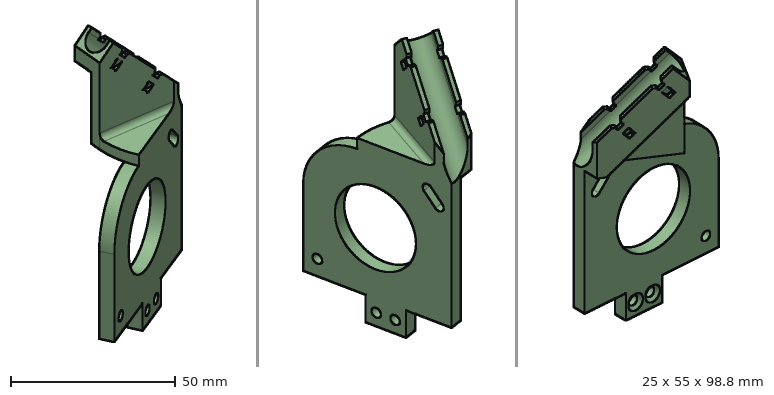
import cadquery as cq
import math

plate_thickness = 5.0
plate_width = 55.0
plate_height = 52.0
plate_corner_radius = 20.0

tab_width = 15.0
tab_height = 10.0
tab_center_y = 30.6

main_hole_diameter = 30.0
main_hole_center = (26.8, 35.7)
screw_diameter = 3.5
pivot_center = (5.3, 16.4)
slot_center = (48.2, 54.9)
slot_center_distance = 6.4
tab_hole_spacing = 7.0
tab_hole_z = 5.0
countersink_diameter = 6.0
countersink_angle = 90.0

total_height = 98.79
bracket_angle = 30.0
slope_angle = 45.0
bracket_corner = (-25.02, 30.0)
bracket_width = 12.3
wall_thickness = 4.2
flange_thickness = 4.0
flange_fillet = 2.0
end_face_height = 7.4
block_lip = 4.0

channel_radius = 4.45
channel_axis_depth = 1.8

tie_passages = ((7.0, 6.35), (25.0, 6.6))
tie_width = 2.5
tie_thickness = 1.5
notch_depth = 2.0
notch_chamfer = 0.85

plate_top = tab_height + plate_height
slope_sin = math.sin(math.radians(slope_angle))
slope_cos = math.cos(math.radians(slope_angle))
rise = end_face_height * slope_cos
peak_run = end_face_height * slope_sin
end_corner_z = total_height - rise
block_bottom_z = end_corner_z - block_lip / slope_cos
reach = 2 * plate_width

along = cq.Vector(math.sin(math.radians(bracket_angle)), math.cos(math.radians(bracket_angle)), 0)
up = cq.Vector(0, 0, 1)
across = along.cross(up)
downhill = along * slope_cos - up * slope_sin
corner = cq.Vector(*bracket_corner, 0)
peak = corner + along * peak_run + up * total_height

bracket_side_plane = cq.Plane(origin=corner, xDir=along, normal=across)
bracket_end_plane = cq.Plane(origin=corner, xDir=across, normal=along * -1)
slope_side_plane = cq.Plane(origin=peak, xDir=downhill, normal=across)


def channel_plane(distance):
    """Plane square to the channel, local Y pointing down into the block."""
    return cq.Plane(origin=peak + downhill * distance, xDir=across, normal=downhill)


def plate_openings(diameter, points):
    """Cylinders through the plate at (Y, Z) points."""
    return (
        cq.Workplane("YZ")
        .pushPoints(points)
        .circle(diameter / 2)
        .extrude(-plate_thickness)
    )


def make_plate():
    plate = (
        cq.Workplane("YZ")
        .moveTo(0, tab_height)
        .lineTo(plate_width, tab_height)
        .lineTo(plate_width, plate_top)
        .lineTo(plate_corner_radius, plate_top)
        .radiusArc((0, plate_top - plate_corner_radius), -plate_corner_radius)
        .close()
        .extrude(-plate_thickness)
    )
    tab = (
        cq.Workplane("YZ")
        .center(tab_center_y, tab_height / 2)
        .rect(tab_width, tab_height)
        .extrude(-plate_thickness)
    )
    plate = plate.union(tab)

    plate = plate.cut(plate_openings(main_hole_diameter, [main_hole_center]))
    plate = plate.cut(plate_openings(screw_diameter, [pivot_center]))

    slot_angle = 90 + math.degrees(
        math.atan2(slot_center[1] - pivot_center[1], slot_center[0] - pivot_center[0])
    )
    slot = (
        cq.Workplane("YZ")
        .center(*slot_center)
        .slot2D(slot_center_distance + screw_diameter, screw_diameter, slot_angle)
        .extrude(-plate_thickness)
    )
    plate = plate.cut(slot)

    countersunk_face = cq.Plane(
        origin=(-plate_thickness, tab_center_y, tab_hole_z),
        xDir=(0, -1, 0),
        normal=(-1, 0, 0),
    )
    return (
        plate.copyWorkplane(cq.Workplane(countersunk_face))
        .pushPoints([(-tab_hole_spacing / 2, 0), (tab_hole_spacing / 2, 0)])
        .cskHole(screw_diameter, countersink_diameter, countersink_angle)
    )


def make_plan_outline():
    """Prism that trims the bracket; an arc blends its end face into the plate."""
    outer_corner = corner + across * bracket_width
    back_x = corner.x + (plate_width - corner.y) * math.tan(math.radians(bracket_angle))
    return (
        cq.Workplane("XY")
        .workplane(offset=plate_top)
        .moveTo(corner.x, corner.y)
        .lineTo(outer_corner.x, outer_corner.y)
        .tangentArcPoint((0, plate_corner_radius), relative=False)
        .lineTo(0, plate_width)
        .lineTo(back_x, plate_width)
        .close()
        .extrude(total_height - plate_top)
    )


def make_wall_and_flange():
    """Upright wall, cut off at the underside of the block, and floor flange joined by a fillet."""
    flange_top = plate_top + flange_thickness
    wall_inside = bracket_width - wall_thickness
    section = (
        cq.Workplane(bracket_end_plane)
        .moveTo(wall_inside, plate_top)
        .lineTo(reach, plate_top)
        .lineTo(reach, flange_top)
        .lineTo(bracket_width + flange_fillet, flange_top)
        .radiusArc((bracket_width, flange_top + flange_fillet), flange_fillet)
        .lineTo(bracket_width, end_corner_z)
        .lineTo(wall_inside, end_corner_z)
        .close()
        .extrude(reach, both=True)
    )
    above_block_bottom = (
        cq.Workplane(bracket_side_plane)
        .moveTo(0, block_bottom_z)
        .lineTo(reach, block_bottom_z - reach * slope_sin / slope_cos)
        .lineTo(reach, total_height)
        .lineTo(0, total_height)
        .close()
        .extrude(bracket_width)
    )
    return section.cut(above_block_bottom)


def make_block():
    slope_drop = reach * slope_sin / slope_cos
    return (
        cq.Workplane(bracket_side_plane)
        .moveTo(0, block_bottom_z)
        .lineTo(0, end_corner_z)
        .lineTo(peak_run, total_height)
        .lineTo(peak_run + reach, total_height - slope_drop)
        .lineTo(reach, block_bottom_z - slope_drop)
        .close()
        .extrude(bracket_width)
    )


def make_channel():
    middle = bracket_width / 2
    return (
        cq.Workplane(channel_plane(0))
        .moveTo(middle - channel_radius, 0)
        .lineTo(middle - channel_radius, channel_axis_depth)
        .threePointArc(
            (middle, channel_axis_depth + channel_radius),
            (middle + channel_radius, channel_axis_depth),
        )
        .lineTo(middle + channel_radius, 0)
        .close()
        .extrude(reach)
    )


def make_tie_ring(distance, inner_radius):
    return (
        cq.Workplane(channel_plane(distance))
        .center(bracket_width / 2, channel_axis_depth)
        .circle(inner_radius + tie_thickness)
        .circle(inner_radius)
        .extrude(tie_width / 2, both=True)
    )


def make_tie_notch(distance):
    half_floor = tie_width / 2
    half_mouth = half_floor + notch_chamfer
    return (
        cq.Workplane(slope_side_plane)
        .center(distance, 0)
        .moveTo(-half_mouth, 0)
        .lineTo(-half_floor, -notch_chamfer)
        .lineTo(-half_floor, -notch_depth)
        .lineTo(half_floor, -notch_depth)
        .lineTo(half_floor, -notch_chamfer)
        .lineTo(half_mouth, 0)
        .close()
        .extrude(bracket_width)
    )


def make_bracket():
    block = make_block().cut(make_channel())
    for distance, inner_radius in tie_passages:
        block = block.cut(make_tie_ring(distance, inner_radius))
        block = block.cut(make_tie_notch(distance))
    return make_wall_and_flange().union(block).intersect(make_plan_outline())


result = make_plate().union(make_bracket())